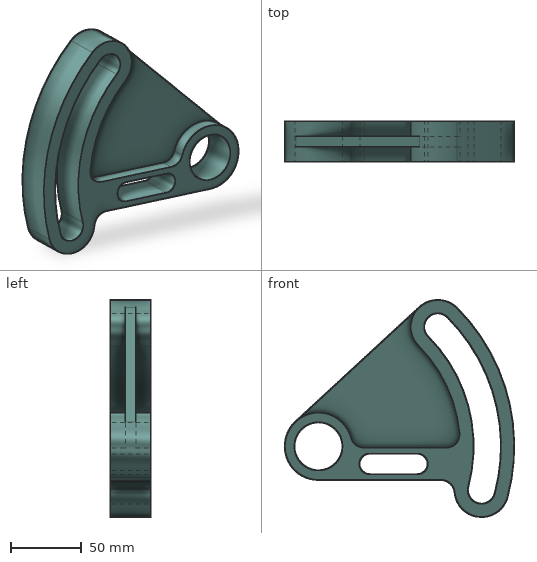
import cadquery as cq
import math

thickness = 28.8
hub_radius = 23.9
bore_radius = 16.9

arc_radius = 119.5
slot_radius = 9.6
band_radius = 2 * slot_radius
upper_angle = 45
lower_angle = -15

arm_height = 22.9
arm_end_x = 105.6
arm_slot_start_x = 36.2
arm_slot_spacing = 33.8
arm_slot_radius = 7.1

web_thickness = 7.5
corner_radius = 9.6

arm_bottom_z = -hub_radius
arm_top_z = arm_bottom_z + arm_height
arm_middle_z = arm_bottom_z + arm_height / 2


def polar(radius, angle):
    a = math.radians(angle)
    return (radius * math.cos(a), radius * math.sin(a))


def plate(sketch, depth):
    """Extrude an XZ outline symmetrically about the mid-plane."""
    return sketch.extrude(depth).translate((0, depth / 2, 0))


def curved_band(half_width):
    """Rounded-end band following the arc about the hub."""
    inner = arc_radius - half_width
    outer = arc_radius + half_width
    middle_angle = (upper_angle + lower_angle) / 2
    outline = (
        cq.Workplane("XZ")
        .moveTo(*polar(inner, lower_angle))
        .threePointArc(polar(inner, middle_angle), polar(inner, upper_angle))
        .tangentArcPoint(polar(outer, upper_angle), relative=False)
        .threePointArc(polar(outer, middle_angle), polar(outer, lower_angle))
        .tangentArcPoint(polar(inner, lower_angle), relative=False)
        .close()
    )
    return plate(outline, thickness)


def frame():
    """Hub, arm and curved band, with the inside corners rounded."""
    hub = plate(cq.Workplane("XZ").circle(hub_radius), thickness)
    arm_outline = (
        cq.Workplane("XZ")
        .moveTo(0, arm_bottom_z)
        .lineTo(arm_end_x, arm_bottom_z)
        .lineTo(arm_end_x, arm_top_z)
        .lineTo(0, arm_top_z)
        .close()
    )
    body = hub.union(plate(arm_outline, thickness)).union(curved_band(band_radius))

    end_x, end_z = polar(arc_radius, lower_angle)
    end_rise = arm_bottom_z - end_z
    corners = [
        (math.sqrt(hub_radius**2 - arm_top_z**2), arm_top_z),
        (math.sqrt((arc_radius - band_radius) ** 2 - arm_top_z**2), arm_top_z),
        (end_x - math.sqrt(band_radius**2 - end_rise**2), arm_bottom_z),
    ]
    for x, z in corners:
        corner = cq.selectors.NearestToPointSelector((x, 0, z))
        body = body.edges("|Y").edges(corner).fillet(corner_radius)
    return body


def web():
    """Thin sheet closing the frame, edged by the line tangent to hub and band end."""
    end_x, end_z = polar(arc_radius, upper_angle)
    tilt = math.degrees(math.asin((hub_radius - band_radius) / arc_radius))
    normal_angle = upper_angle + 90 - tilt
    hub_x, hub_z = polar(hub_radius, normal_angle)
    offset_x, offset_z = polar(band_radius, normal_angle)
    outline = (
        cq.Workplane("XZ")
        .moveTo(0, 0)
        .lineTo(hub_x, hub_z)
        .lineTo(end_x + offset_x, end_z + offset_z)
        .lineTo(end_x, end_z)
        .threePointArc((arc_radius, 0), polar(arc_radius, lower_angle / 2))
        .lineTo(arm_end_x, arm_middle_z)
        .lineTo(0, arm_middle_z)
        .close()
    )
    return plate(outline, web_thickness)


bore = plate(cq.Workplane("XZ").circle(bore_radius), thickness)
arm_slot = plate(
    cq.Workplane("XZ")
    .center(arm_slot_start_x + arm_slot_spacing / 2, arm_middle_z)
    .slot2D(arm_slot_spacing + 2 * arm_slot_radius, 2 * arm_slot_radius),
    thickness,
)

result = frame().union(web()).cut(bore).cut(arm_slot).cut(curved_band(slot_radius))